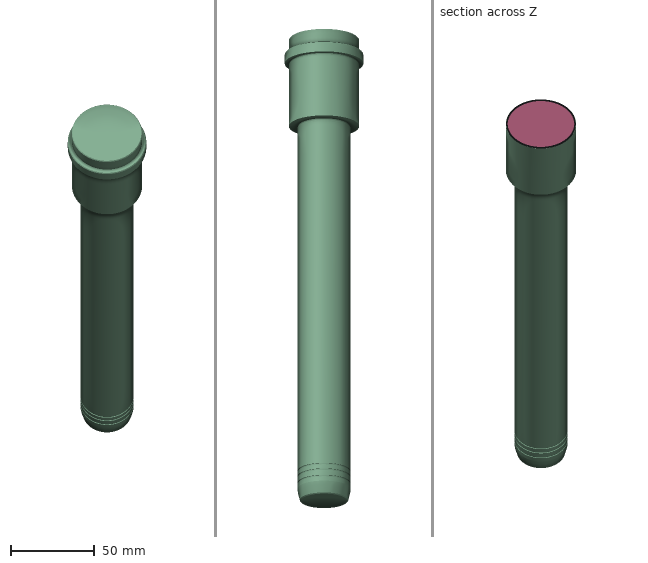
import cadquery as cq

total_length = 290.0
flange_diameter = 47.0
head_diameter = 42.0
shaft_diameter = 32.0

head_length = 54.5
flange_top_depth = 9.0
flange_height = 6.0
edge_chamfer = 0.5

groove_width = 1.0
groove_depth = 0.5
shaft_groove_heights = (10.7, 14.8, 18.3)

shaft_taper_height = 1.5
shaft_taper_inset = 0.5

nose_length = 7.5
nose_end_diameter = 29.0
nose_arc_radius = 29.0
nose_chamfer = 0.5

flange_top = total_length - flange_top_depth
flange_bottom = flange_top - flange_height
head_bottom = total_length - head_length
shaft_radius = shaft_diameter / 2
nose_end_radius = nose_end_diameter / 2


def cylinder(diameter, bottom, top):
    """Solid cylinder on the Z axis between two heights."""
    return cq.Workplane("XY").workplane(offset=bottom).circle(diameter / 2).extrude(top - bottom)


def ring_groove(diameter, mid_height):
    """Square-sided ring to cut from a cylinder of the given diameter."""
    bottom = mid_height - groove_width / 2
    top = mid_height + groove_width / 2
    return cylinder(diameter, bottom, top).cut(cylinder(diameter - 2 * groove_depth, bottom, top))


def make_shaft():
    """Grooved shaft with a bulged, chamfered nose and a short taper below the head."""
    shaft = (
        cq.Workplane("XZ")
        .lineTo(nose_end_radius - nose_chamfer, 0)
        .lineTo(nose_end_radius, nose_chamfer)
        .radiusArc((shaft_radius, nose_length), -nose_arc_radius)
        .lineTo(shaft_radius, head_bottom - shaft_taper_height)
        .lineTo(shaft_radius - shaft_taper_inset, head_bottom)
        .lineTo(0, head_bottom)
        .close()
        .revolve(360, (0, 0, 0), (0, 1, 0))
    )
    for mid_height in shaft_groove_heights:
        shaft = shaft.cut(ring_groove(shaft_diameter, mid_height))
    return shaft


def make_head():
    """Chamfered head with a relief groove directly above and below the flange."""
    head = cylinder(head_diameter, head_bottom, total_length).faces(">Z").chamfer(edge_chamfer)
    for mid_height in (flange_top + groove_width / 2, flange_bottom - groove_width / 2):
        head = head.cut(ring_groove(head_diameter, mid_height))
    return head


def make_flange():
    """Flange disc with its upper rim chamfered."""
    return cylinder(flange_diameter, flange_bottom, flange_top).faces(">Z").chamfer(edge_chamfer)


result = make_shaft().union(make_head()).union(make_flange())